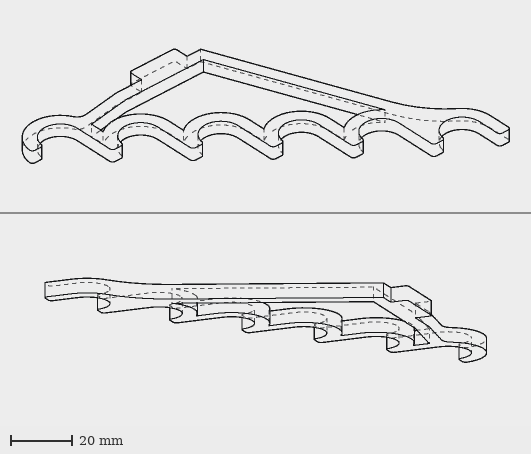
import cadquery as cq
import math

thickness = 5.0
wall = 5.0
bore_radius = 7.5
hook_count = 6
pitch_x = 17.0
last_arm_length = 10.0
tip_round = 1.3

post_left = -6.5
post_bend_outer_y = 30.5
post_bend_inner_y = 30.3
leg_shift = 3.3
bar_corner_outer_y = 67.7
bar_angle = 22.2
tab_center_y = 51.7
tab_height = 20.0
tab_round = 1.0
leg_round = 3.8
bar_blend_radius = 40.1

outer_radius = bore_radius + wall
middle_radius = bore_radius + wall / 2
pitch_y = bore_radius + outer_radius
post_right = post_left + wall
tab_left = -outer_radius
bar_slope = math.tan(math.radians(bar_angle))
bar_drop = wall / math.cos(math.radians(bar_angle))


def hook_center(index):
    return index * pitch_x, index * pitch_y


def bar_outer_y(x):
    return bar_corner_outer_y + bar_slope * (x - post_left)


def bar_inner_y(x):
    return bar_outer_y(x) - bar_drop


def plate(points):
    return cq.Workplane("XY").polyline(points).close().extrude(thickness)


def make_hook(index):
    """Half ring open towards +X, with a straight arm along its top."""
    x, y = hook_center(index)
    arm_length = last_arm_length if index == hook_count - 1 else pitch_x
    return (
        cq.Workplane("XY")
        .moveTo(x + arm_length, y + outer_radius)
        .lineTo(x, y + outer_radius)
        .threePointArc((x - outer_radius, y), (x, y - outer_radius))
        .lineTo(x, y - bore_radius)
        .threePointArc((x - bore_radius, y), (x, y + bore_radius))
        .lineTo(x + arm_length, y + bore_radius)
        .close()
        .extrude(thickness)
    )


def make_post():
    """Upright post whose lower leg leans in to the arm of the first hook."""
    return plate([
        (post_left, bar_corner_outer_y),
        (post_left, post_bend_outer_y),
        (post_left + leg_shift, middle_radius),
        (post_right + leg_shift, middle_radius),
        (post_right, post_bend_inner_y),
        (post_right, bar_inner_y(post_right)),
    ])


def make_bar():
    """Sloping bar from the post into the ring of the last hook."""
    end_x = hook_center(hook_count - 1)[0] - middle_radius
    return plate([
        (post_left, bar_outer_y(post_left)),
        (end_x, bar_outer_y(end_x)),
        (end_x, bar_inner_y(end_x)),
        (post_right, bar_inner_y(post_right)),
        (post_left, bar_inner_y(post_left)),
    ])


def make_gusset():
    """Solid web filling the gap between the bar and the last two hooks."""
    lower_x, lower_y = hook_center(hook_count - 2)
    upper_x, upper_y = hook_center(hook_count - 1)
    start_x = lower_x - bore_radius
    end_x = upper_x - middle_radius
    diagonal = middle_radius * math.sqrt(0.5)
    return plate([
        (start_x, bar_inner_y(start_x)),
        (lower_x, lower_y + middle_radius),
        (upper_x, upper_y - middle_radius),
        (upper_x - diagonal, upper_y - diagonal),
        (end_x, bar_outer_y(end_x)),
    ])


def make_tab():
    tab_width = post_right - tab_left
    return (
        cq.Workplane("XY")
        .box(tab_width, tab_height, thickness, centered=(False, True, False))
        .translate((tab_left, tab_center_y, 0))
        .edges("|Z and <X")
        .fillet(tab_round)
    )


def vertical_edge(body, x, y):
    return body.edges("|Z").edges(cq.selectors.NearestToPointSelector((x, y, thickness / 2)))


def round_tip(body, x, y):
    """Round the two corners of a hook end centred on (x, y)."""
    for side in (-1, 1):
        body = vertical_edge(body, x, y + side * wall / 2).fillet(tip_round)
    return body


body = make_post().union(make_bar()).union(make_tab()).union(make_gusset())
for hook_index in range(hook_count):
    body = body.union(make_hook(hook_index))
body = body.clean()

leg_corner_x = post_left + leg_shift
leg_corner_y = math.sqrt(outer_radius**2 - leg_corner_x**2)
body = vertical_edge(body, leg_corner_x, leg_corner_y).fillet(leg_round)

last_x, last_y = hook_center(hook_count - 1)
bar_direction = math.radians(bar_angle)
center_offset = (bar_outer_y(last_x) - last_y) * math.cos(bar_direction)
half_chord = math.sqrt(outer_radius**2 - center_offset**2)
bar_corner_x = last_x - center_offset * math.sin(bar_direction) - half_chord * math.cos(bar_direction)
body = vertical_edge(body, bar_corner_x, bar_outer_y(bar_corner_x)).fillet(bar_blend_radius)

for hook_index in range(hook_count):
    tip_x, tip_y = hook_center(hook_index)
    body = round_tip(body, tip_x, tip_y - middle_radius)
body = round_tip(body, last_x + last_arm_length, last_y + middle_radius)

result = body